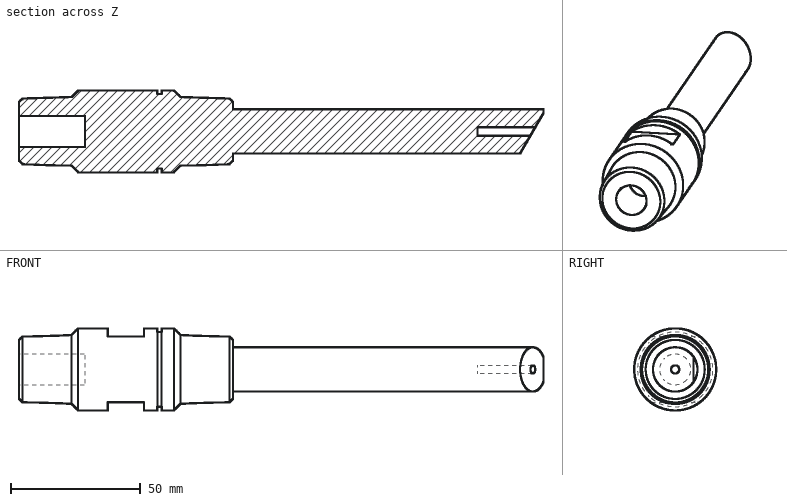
import cadquery as cq
import math

overall_length = 202.29
body_length = 82.55
body_diameter = 31.75

thread_length = 20.3
thread_taper = 1 / 16
thread_root_diameter = 26.67
end_chamfer_length = 1.4
end_face_diameter = 22.8

wrench_flat_start = 34.3
wrench_flat_length = 13.9
wrench_flat_spacing = 25.4
groove_start = 53.4
groove_width = 1.6
groove_diameter = 28.96
bore_diameter = 11.91
bore_depth = 25.4

rod_diameter = 17.14
tip_angle = 30
tip_flat_depth = 1.5
tip_hole_diameter = 3.17
tip_hole_depth = 25.4

rod_radius = rod_diameter / 2
body_radius = body_diameter / 2
thread_root_radius = thread_root_diameter / 2
shoulder_length = body_radius - thread_root_radius


def make_body():
    """Turned body along X: chamfered tapered ends and 45 degree shoulders."""
    tapered_length = thread_length - end_chamfer_length
    thread_tip_radius = thread_root_radius - tapered_length * thread_taper / 2
    left_half = [
        (0, end_face_diameter / 2),
        (end_chamfer_length, thread_tip_radius),
        (thread_length, thread_root_radius),
        (thread_length + shoulder_length, body_radius),
    ]
    right_half = [(body_length - x, radius) for x, radius in reversed(left_half)]
    profile = [(0, 0)] + left_half + right_half + [(body_length, 0)]
    return cq.Workplane("XY").polyline(profile).close().revolve(360, (0, 0, 0), (1, 0, 0))


def make_wrench_flats():
    """Material above and below the pair of wrench flats."""
    cutters = cq.Workplane("XY")
    for side in (1, -1):
        block = cq.Workplane("XY").box(
            wrench_flat_length, body_diameter, body_radius, centered=(False, True, True)
        )
        center_height = side * (wrench_flat_spacing + body_radius) / 2
        cutters = cutters.add(block.translate((wrench_flat_start, 0, center_height)))
    return cutters.combine()


def make_groove():
    """Ring removed by the groove around the body."""
    plane = cq.Workplane("YZ", origin=(groove_start, 0, 0))
    return plane.circle(body_diameter).circle(groove_diameter / 2).extrude(groove_width)


def make_bore():
    """Blind bore in the free end of the body."""
    return cq.Workplane("YZ").circle(bore_diameter / 2).extrude(bore_depth)


def make_rod():
    """Rod from the body to the tip, cut obliquely with a narrow square end at +Y."""
    rod = (
        cq.Workplane("YZ", origin=(body_length, 0, 0))
        .circle(rod_radius)
        .extrude(overall_length - body_length)
    )
    cut_height = rod_diameter - tip_flat_depth
    cut_length = cut_height * math.tan(math.radians(tip_angle))
    wedge = (
        cq.Workplane("XY")
        .moveTo(overall_length, rod_radius - tip_flat_depth)
        .lineTo(overall_length, -rod_radius)
        .lineTo(overall_length - cut_length, -rod_radius)
        .close()
        .extrude(rod_radius, both=True)
    )
    hole = (
        cq.Workplane("YZ", origin=(overall_length - tip_hole_depth, 0, 0))
        .circle(tip_hole_diameter / 2)
        .extrude(tip_hole_depth)
    )
    return rod.cut(wedge).cut(hole)


body = make_body().cut(make_wrench_flats()).cut(make_groove()).cut(make_bore())
result = body.union(make_rod())